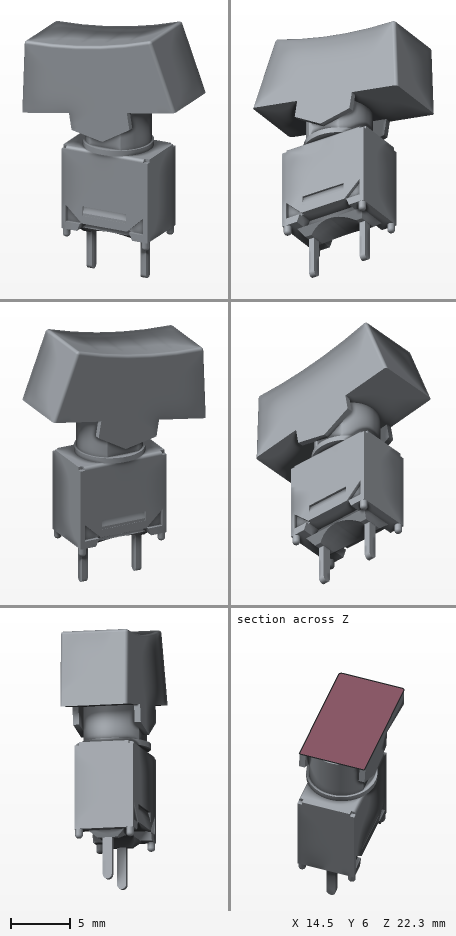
import cadquery as cq


HOUSING_X = 8.15
HOUSING_Y = 5.07
HOUSING_Z = 7.39
TOP_FILLET = 0.27
RIM = 0.4
RECESS_DEPTH = 0.31
RAIL_Z = 0.67
PLATE_BOTTOM_Z = 0.74
PLATE_CORNER_Z = 2.17
PLATE_BOTTOM_X = 4.29

GAP_BOTTOM_X = 5.22
GAP_TOP_X = 4.6
WEB_Y = 2.0

WINDOW_X = 4.1
WINDOW_TOP_Z = 2.28
WINDOW_LIP_Z = 1.67
WINDOW_BOTTOM_Z = 1.45
WINDOW_DEPTH = 0.22
WINDOW_LIP_DEPTH = 0.02

COLLAR_DIAMETER = 6.0
COLLAR_HEIGHT = 0.47
BUSHING_DIAMETER = 5.62
BUSHING_FLATS = 4.8
BUSHING_TOP_Z = 11.55

ROCKER_TILT = 9.4
ROCKER_Y = 5.85
LEG_TIP_Z = 8.53
LEG_X = 5.55
LEG_SHOULDER = 1.05
CAP_BOTTOM = 2.55
CAP_BOTTOM_X = 14.73
CAP_TOP_X = 12.15
CAP_CORNER = 8.88
CAP_MIDDLE = 8.4
CAP_FILLET = 0.27

PIN_SPACING = 5.1
PIN_X = 0.54
PIN_Y = 0.78
PIN_LENGTH = 4.1
RESIN_DEPTH = 0.58
RESIN_TOP_X = 6.47
RESIN_TOP_Y = 3.08
RESIN_BOTTOM_X = 5.67
RESIN_BOTTOM_Y = 1.72
RESIN_ARCH_X = 4.46
POST_DIAMETER = 0.65
POST_LENGTH = 0.75
POST_ROUNDING = 0.27


def extrude_across(outline, width):
    """Extrude an outline in the XZ plane symmetrically about Y = 0."""
    return outline.extrude(width / 2, both=True)


def front_and_back(feature):
    """Join a feature with its mirror image across the XZ plane."""
    return feature.union(feature.mirror("XZ"))


def make_resin():
    """Tapered mound under the housing, arched between the terminals."""
    mound = (
        cq.Workplane("XY")
        .rect(RESIN_TOP_X, RESIN_TOP_Y)
        .workplane(offset=-RESIN_DEPTH)
        .rect(RESIN_BOTTOM_X, RESIN_BOTTOM_Y)
        .loft(ruled=True)
    )
    half_arch = RESIN_ARCH_X / 2
    arch_radius = (half_arch**2 + RESIN_DEPTH**2) / (2 * RESIN_DEPTH)
    arch = cq.Workplane("XZ").center(0, -arch_radius).circle(arch_radius)
    return mound.cut(extrude_across(arch, HOUSING_Y))


def make_corner_recesses():
    """Shallow pockets at the two lower corners of the front plate."""
    opening = HOUSING_X / 2 - RIM
    profile = [
        (opening, PLATE_CORNER_Z),
        (PLATE_BOTTOM_X / 2, PLATE_BOTTOM_Z),
        (PLATE_BOTTOM_X / 2, RAIL_Z),
        (opening, RAIL_Z),
    ]
    pocket = (
        cq.Workplane("XZ", origin=(0, -HOUSING_Y / 2, 0))
        .polyline(profile)
        .close()
        .extrude(-RECESS_DEPTH)
    )
    return pocket.union(pocket.mirror("YZ"))


def make_rail_gap():
    """Trapezoidal gap in the front bottom rail, reaching in to the web."""
    return (
        cq.Workplane("XZ", origin=(0, -HOUSING_Y / 2, 0))
        .moveTo(-GAP_BOTTOM_X / 2, 0)
        .lineTo(-GAP_TOP_X / 2, PLATE_BOTTOM_Z)
        .lineTo(GAP_TOP_X / 2, PLATE_BOTTOM_Z)
        .lineTo(GAP_BOTTOM_X / 2, 0)
        .close()
        .extrude(-(HOUSING_Y - WEB_Y) / 2)
    )


def make_window():
    """Window whose floor slopes outwards from its top edge to a lip."""
    face_y = -HOUSING_Y / 2
    profile = [
        (face_y, WINDOW_BOTTOM_Z),
        (face_y + WINDOW_LIP_DEPTH, WINDOW_BOTTOM_Z),
        (face_y + WINDOW_LIP_DEPTH, WINDOW_LIP_Z),
        (face_y + WINDOW_DEPTH, WINDOW_TOP_Z),
        (face_y, WINDOW_TOP_Z),
    ]
    return cq.Workplane("YZ").polyline(profile).close().extrude(WINDOW_X / 2, both=True)


def make_housing():
    housing = (
        cq.Workplane("XY")
        .box(HOUSING_X, HOUSING_Y, HOUSING_Z, centered=(True, True, False))
        .edges("|X and >Z")
        .fillet(TOP_FILLET)
    )
    corner_reliefs = (
        cq.Workplane("XY", origin=(0, 0, HOUSING_Z - TOP_FILLET))
        .rect(HOUSING_X - RIM, HOUSING_Y - RIM, forConstruction=True)
        .vertices()
        .rect(RIM, RIM)
        .extrude(TOP_FILLET)
    )
    return (
        housing.cut(corner_reliefs)
        .cut(front_and_back(make_corner_recesses()))
        .cut(front_and_back(make_rail_gap()))
        .cut(front_and_back(make_window()))
        .union(make_resin())
    )


def make_bushing():
    """Collar and a taller cylinder with flats at front and back."""
    base = cq.Workplane("XY", origin=(0, 0, HOUSING_Z))
    collar = base.circle(COLLAR_DIAMETER / 2).extrude(COLLAR_HEIGHT)
    height = BUSHING_TOP_Z - HOUSING_Z
    barrel = base.circle(BUSHING_DIAMETER / 2).extrude(height)
    flats = base.rect(BUSHING_DIAMETER, BUSHING_FLATS).extrude(height)
    return collar.union(barrel.intersect(flats))


def make_rocker():
    """Concave-topped cap with a pointed leg on each side of the bushing, tilted about the leg tips."""
    cap_outline = (
        cq.Workplane("XZ")
        .moveTo(-CAP_BOTTOM_X / 2, CAP_BOTTOM)
        .lineTo(-CAP_TOP_X / 2, CAP_CORNER)
        .threePointArc((0, CAP_MIDDLE), (CAP_TOP_X / 2, CAP_CORNER))
        .lineTo(CAP_BOTTOM_X / 2, CAP_BOTTOM)
        .close()
    )
    cap = extrude_across(cap_outline, ROCKER_Y)
    cap = cap.edges("not <Z").fillet(CAP_FILLET)

    leg_outline = (
        cq.Workplane("XZ")
        .moveTo(0, 0)
        .lineTo(LEG_X / 2, LEG_SHOULDER)
        .lineTo(LEG_X / 2, CAP_BOTTOM)
        .lineTo(-LEG_X / 2, CAP_BOTTOM)
        .lineTo(-LEG_X / 2, LEG_SHOULDER)
        .close()
    )
    leg_gap = cq.Workplane("XY").box(LEG_X, BUSHING_FLATS, 2 * CAP_BOTTOM)
    legs = extrude_across(leg_outline, ROCKER_Y).cut(leg_gap)

    rocker = cap.union(legs)
    return rocker.rotate((0, 0, 0), (0, 1, 0), -ROCKER_TILT).translate((0, 0, LEG_TIP_Z))


def make_pins():
    """Two flat terminals with fully rounded tips."""
    tip_radius = PIN_Y / 2
    pin = (
        cq.Workplane("YZ")
        .moveTo(-tip_radius, 0)
        .lineTo(-tip_radius, tip_radius - PIN_LENGTH)
        .threePointArc((0, -PIN_LENGTH), (tip_radius, tip_radius - PIN_LENGTH))
        .lineTo(tip_radius, 0)
        .close()
        .extrude(PIN_X / 2, both=True)
    )
    offset = PIN_SPACING / 2
    return pin.translate((-offset, 0, 0)).union(pin.translate((offset, 0, 0)))


def make_posts():
    """Four rounded stand-off posts, tangent to the housing walls."""
    return (
        cq.Workplane("XY")
        .rect(HOUSING_X - POST_DIAMETER, HOUSING_Y - POST_DIAMETER, forConstruction=True)
        .vertices()
        .circle(POST_DIAMETER / 2)
        .extrude(-POST_LENGTH)
        .faces("<Z")
        .edges()
        .fillet(POST_ROUNDING)
    )


result = (
    make_housing()
    .union(make_bushing())
    .union(make_rocker())
    .union(make_pins())
    .union(make_posts())
)